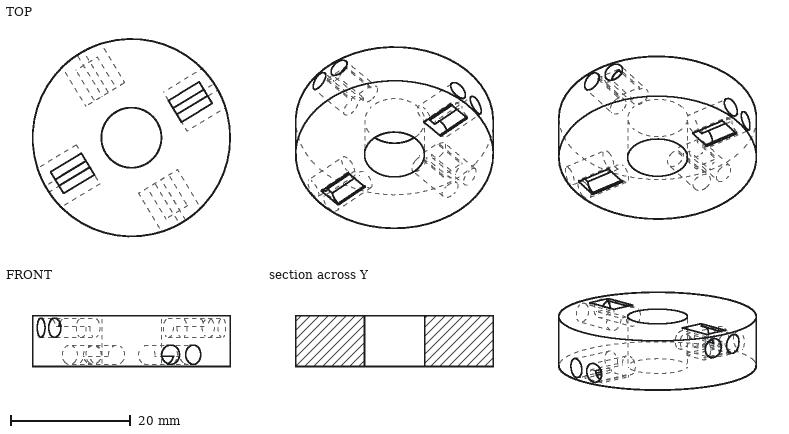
import cadquery as cq

disc_diameter = 33.0
bore_diameter = 10.0
thickness = 8.5

pocket_angle = 31.2
pocket_length = 6.0
pocket_width = 4.2
pocket_depth = 1.75
pocket_radius = 11.5
pocket_inner_radius = pocket_radius - pocket_length / 2

hole_diameter = 3.2
hole_spacing = 4.4
hole_axis_depth = 2.0
rim_overrun = 1.0
hole_length = disc_diameter / 2 + rim_overrun - pocket_inner_radius

quarter_turn = 90
half_turn = 180


def make_disc():
    """Plain ring standing on the XY plane."""
    ring = cq.Workplane("XY").circle(disc_diameter / 2).circle(bore_diameter / 2)
    return ring.extrude(thickness)


def make_top_cutter():
    """Pocket opening in the top face plus its two rim holes, laid along +X."""
    pocket = (
        cq.Workplane("XY", origin=(pocket_radius, 0, thickness))
        .rect(pocket_length, pocket_width)
        .extrude(-pocket_depth)
    )
    holes = (
        cq.Workplane("YZ", origin=(pocket_inner_radius, 0, thickness - hole_axis_depth))
        .pushPoints([(-hole_spacing / 2, 0), (hole_spacing / 2, 0)])
        .circle(hole_diameter / 2)
        .extrude(hole_length)
    )
    return pocket.union(holes)


def turned(shape, angle):
    """Shape turned about the disc axis."""
    return shape.rotate((0, 0, 0), (0, 0, 1), angle)


top_cutter = make_top_cutter()
bottom_cutter = top_cutter.mirror("XY", (0, 0, thickness / 2))

result = make_disc()
for turn in (0, half_turn):
    top_angle = pocket_angle + turn
    result = result.cut(turned(top_cutter, top_angle))
    result = result.cut(turned(bottom_cutter, top_angle + quarter_turn))